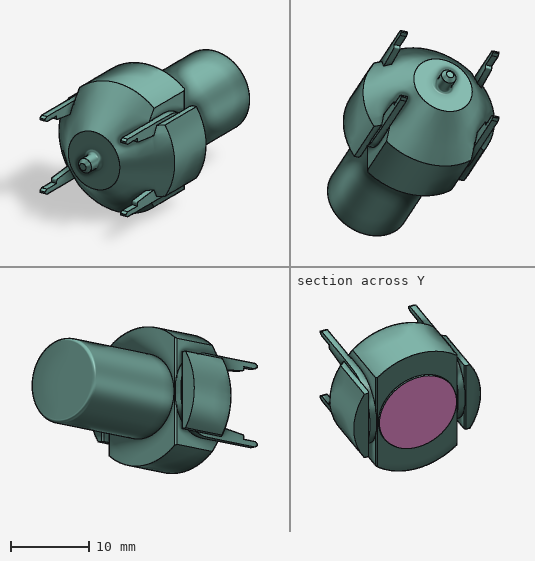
import cadquery as cq

overall_length = 29.85
rear_y = overall_length / 2
tip_y = -overall_length / 2
body_rear_y = -0.25
cone_start_y = -7.28
body_front_y = -12.4

tube_diameter = 11.0
tube_edge_radius = 0.45
body_diameter = 18.0
body_front_diameter = 8.0
pin_diameter = 2.0
pin_fillet = 0.5
pin_tip_chamfer = 0.5

notch_x = 5.8
notch_z = 4.98
notch_chamfer_x = 0.18
notch_chamfer_y = 0.27

plate_rear_y = -0.18
plate_front_y = -7.7
plate_half_height = 5.43
plate_corner_radius = 4.98
plate_outer_x = 6.75

leg_inner_x = 5.85
leg_outer_x = 6.7
leg_tip_inner_z = 4.72
leg_tip_chamfer_y = 0.42
leg_tip_chamfer_z = 0.25
leg_shoulder_y = -12.33
leg_shoulder_z = 4.18
leg_shoulder_fillet = 0.25
leg_heel_y = -8.63
leg_heel_z = 3.8


def make_core():
    """Tube, conical body and centre pin as one revolved profile."""
    tube_r = tube_diameter / 2
    body_r = body_diameter / 2
    front_r = body_front_diameter / 2
    pin_r = pin_diameter / 2
    diagonal = 0.5 ** 0.5
    tube_arc_r = tube_r - tube_edge_radius * (1 - diagonal)
    tube_arc_y = rear_y - tube_edge_radius * (1 - diagonal)
    base_arc_r = pin_r + pin_fillet * (1 - diagonal)
    base_arc_y = body_front_y - pin_fillet * (1 - diagonal)
    profile = (
        cq.Workplane("XY")
        .moveTo(0, rear_y)
        .lineTo(tube_r - tube_edge_radius, rear_y)
        .threePointArc((tube_arc_r, tube_arc_y), (tube_r, rear_y - tube_edge_radius))
        .lineTo(tube_r, body_rear_y)
        .lineTo(body_r, body_rear_y)
        .lineTo(body_r, cone_start_y)
        .lineTo(front_r, body_front_y)
        .lineTo(pin_r + pin_fillet, body_front_y)
        .threePointArc((base_arc_r, base_arc_y), (pin_r, body_front_y - pin_fillet))
        .lineTo(pin_r, tip_y + pin_tip_chamfer)
        .lineTo(pin_r - pin_tip_chamfer, tip_y)
        .lineTo(0, tip_y)
        .close()
    )
    return profile.revolve(360, (0, 0, 0), (0, 1, 0))


def make_notch():
    """Notch at the +X +Z corner, with its wall chamfered at the rear."""
    outside = body_diameter
    return (
        cq.Workplane("XY", origin=(0, 0, notch_z))
        .polyline([
            (notch_x, tip_y),
            (notch_x, body_rear_y - notch_chamfer_y),
            (notch_x - notch_chamfer_x, body_rear_y),
            (outside, body_rear_y),
            (outside, tip_y),
        ])
        .close()
        .extrude(outside)
    )


def make_slot():
    """Slot at +X that holds the plate, with both walls chamfered at the rear."""
    slot_height = 2 * body_diameter
    return (
        cq.Workplane("XY", origin=(0, 0, -slot_height / 2))
        .polyline([
            (notch_x, plate_front_y),
            (notch_x, body_rear_y - notch_chamfer_y),
            (notch_x - notch_chamfer_x, body_rear_y),
            (plate_outer_x + notch_chamfer_x, body_rear_y),
            (plate_outer_x, body_rear_y - notch_chamfer_y),
            (plate_outer_x, plate_rear_y - plate_corner_radius),
            (leg_outer_x, plate_front_y),
        ])
        .close()
        .extrude(slot_height)
    )


def make_plate():
    """Plate at +X with large rounded rear corners and a tapered outer face."""
    outline = (
        cq.Workplane("YZ")
        .center((plate_rear_y + plate_front_y) / 2, 0)
        .rect(plate_rear_y - plate_front_y, 2 * plate_half_height)
        .extrude(plate_outer_x)
        .edges("|X and >Y")
        .fillet(plate_corner_radius)
    )
    taper_start_y = plate_rear_y - plate_corner_radius
    side_section = (
        cq.Workplane("XY", origin=(0, 0, -plate_half_height))
        .polyline([
            (notch_x, plate_rear_y),
            (plate_outer_x, plate_rear_y),
            (plate_outer_x, taper_start_y),
            (leg_outer_x, plate_front_y),
            (notch_x, plate_front_y),
        ])
        .close()
        .extrude(2 * plate_half_height)
    )
    return outline.intersect(side_section)


def make_leg():
    """Contact leg at the +X +Z corner, stepped to a narrow chamfered tip and a rounded shoulder."""
    shoulder_edge = (leg_inner_x + leg_outer_x) / 2, leg_shoulder_y, leg_shoulder_z
    return (
        cq.Workplane("YZ", origin=(leg_inner_x, 0, 0))
        .polyline([
            (plate_front_y, plate_half_height),
            (tip_y + leg_tip_chamfer_y, plate_half_height),
            (tip_y, plate_half_height - leg_tip_chamfer_z),
            (tip_y, leg_tip_inner_z + leg_tip_chamfer_z),
            (tip_y + leg_tip_chamfer_y, leg_tip_inner_z),
            (leg_shoulder_y, leg_tip_inner_z),
            (leg_shoulder_y, leg_shoulder_z),
            (leg_heel_y, leg_heel_z),
            (plate_front_y, leg_heel_z),
        ])
        .close()
        .extrude(leg_outer_x - leg_inner_x)
        .edges(cq.selectors.NearestToPointSelector(shoulder_edge))
        .fillet(leg_shoulder_fillet)
    )


def at_four_corners(corner):
    """The given +X +Z corner solid together with its three mirror images."""
    pair = corner.union(corner.mirror("XY"))
    return pair.union(pair.mirror("YZ"))


slot = make_slot()
plate = make_plate()
result = (
    make_core()
    .cut(at_four_corners(make_notch()))
    .cut(slot)
    .cut(slot.mirror("YZ"))
    .union(plate)
    .union(plate.mirror("YZ"))
    .union(at_four_corners(make_leg()))
)